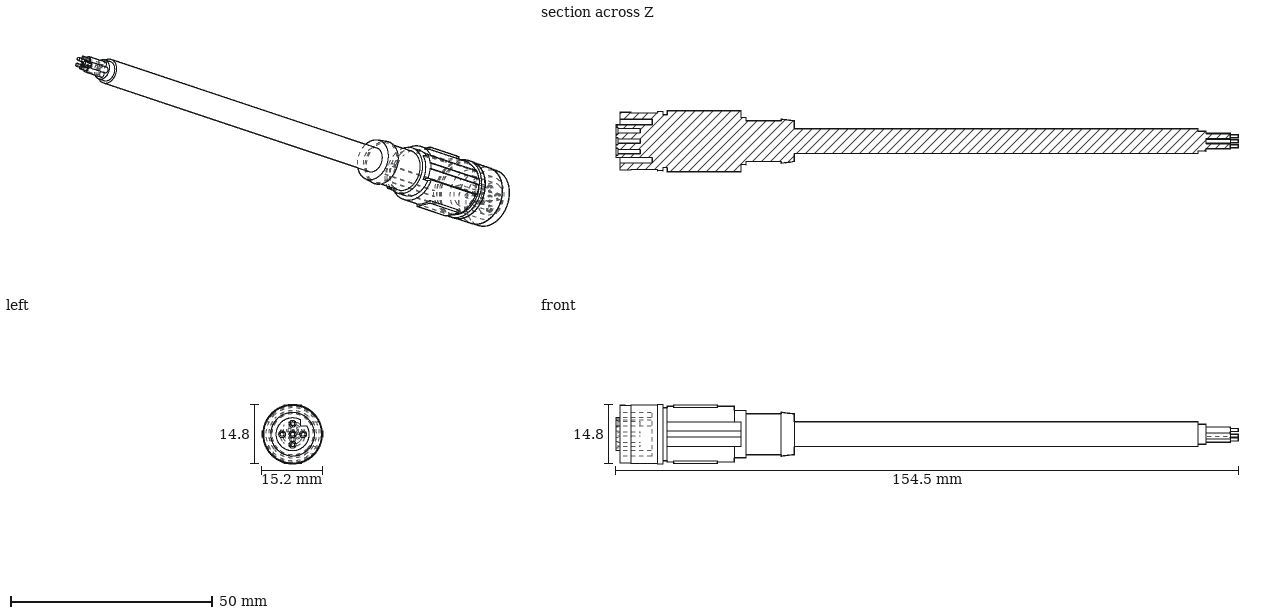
import math

import cadquery as cq

insert_face = 0.0
nut_start = 1.0
nut_rim_end = 3.7
nut_collar_start = 10.3
nut_end = 11.7
grip_start = 12.7
grip_end = 29.4
rib_end = 31.1
shoulder_end = 32.3
bead_start = 41.0
boot_end = 44.3
jacket_end = 144.5
sleeve_end = 146.5
insulation_end = 152.5
overall_length = 154.5

nut_rim_radius = 7.2
nut_radius = 7.3
nut_collar_radius = 7.395
neck_radius = 6.6
grip_radius = 6.95
shoulder_radius = 5.9
boot_radius = 5.1
bead_radius = 5.5
jacket_radius = 3.1
sleeve_radius = 2.5

nut_bore_radius = 5.4
insert_radius = 4.1
socket_recess_depth = 8.0
contact_radius = 0.5
contact_entry_radius = 0.85
contact_entry_depth = 0.5
contact_circle_radius = 2.6
contact_depth = 6.0
outer_contact_count = 4
keyway_corner_offset = 2.0

flat_width = 3.4
flat_start = nut_rim_end
flat_end = nut_collar_start

rib_width = 6.1
rib_radius = 7.35
ridge_width = 1.5
ridge_reach = 7.6
pad_start = 14.3
pad_end = 25.2
pad_width = 4.3
pad_height = 7.3

wire_count = 5
wire_circle_radius = 1.3
insulation_radius = 0.75
conductor_radius = 0.4


def rod(start, end, radius, y=0.0, z=0.0):
    """Cylinder parallel to X between two stations."""
    return cq.Workplane("YZ", origin=(start, y, z)).circle(radius).extrude(end - start)


def block(start, end, width_y, width_z):
    """Box centred on the X axis between two stations."""
    middle = (start + end) / 2
    return cq.Workplane("XY", origin=(middle, 0, 0)).box(end - start, width_y, width_z)


def make_nut():
    """Coupling nut with a recessed bore and a flat on each side."""
    rim = rod(nut_start, nut_rim_end, nut_rim_radius)
    barrel = rod(nut_rim_end, nut_collar_start, nut_radius)
    collar = rod(nut_collar_start, nut_end, nut_collar_radius)
    flat_distance = math.sqrt(nut_radius**2 - (flat_width / 2) ** 2)
    between_flats = block(flat_start, flat_end, 2 * flat_distance, 2 * nut_radius)
    flat_zone = rod(flat_start, flat_end, nut_radius)
    nut = rim.union(barrel.cut(flat_zone.cut(between_flats))).union(collar)
    return nut.cut(rod(nut_start, nut_start + socket_recess_depth, nut_bore_radius))


def make_grip():
    """Grip body with a ridged rib on each side and a raised pad above and below."""
    body = rod(grip_start, grip_end, grip_radius)
    ribs = rod(grip_start, rib_end, rib_radius).intersect(
        block(grip_start, rib_end, 2 * rib_radius, rib_width)
    )
    ridges = block(grip_start, rib_end, 2 * ridge_reach, ridge_width)
    pads = block(pad_start, pad_end, pad_width, 2 * pad_height)
    return body.union(ribs).union(ridges).union(pads)


def make_boot():
    """Strain relief with a shoulder and a tapered bead at the cable exit."""
    boot = rod(grip_end, shoulder_end, shoulder_radius)
    boot = boot.union(rod(shoulder_end, bead_start, boot_radius))
    bead = (
        cq.Workplane("YZ", origin=(bead_start, 0, 0))
        .circle(bead_radius)
        .workplane(offset=boot_end - bead_start)
        .circle(boot_radius)
        .loft()
    )
    return boot.union(bead)


def make_cable():
    """Cable jacket, inner sleeve and a ring of stripped wires."""
    cable = rod(boot_end, jacket_end, jacket_radius)
    cable = cable.union(rod(jacket_end, sleeve_end, sleeve_radius))
    for index in range(wire_count):
        angle = math.radians(-90 + index * 360 / wire_count)
        y = wire_circle_radius * math.cos(angle)
        z = wire_circle_radius * math.sin(angle)
        cable = cable.union(rod(sleeve_end, insulation_end, insulation_radius, y, z))
        cable = cable.union(rod(insulation_end, overall_length, conductor_radius, y, z))
    return cable


def make_insert():
    """Contact carrier with a corner keyway and stepped contact holes."""
    recess_end = nut_start + socket_recess_depth
    insert = rod(insert_face, recess_end, insert_radius)
    keyway = (
        cq.Workplane("YZ", origin=(insert_face, 0, 0))
        .moveTo(-insert_radius, insert_radius)
        .lineTo(-insert_radius, keyway_corner_offset)
        .lineTo(-keyway_corner_offset, keyway_corner_offset)
        .lineTo(-keyway_corner_offset, insert_radius)
        .close()
        .extrude(recess_end - insert_face)
    )
    insert = insert.cut(keyway)
    contacts = [(0.0, 0.0)]
    for index in range(outer_contact_count):
        angle = math.radians(index * 360 / outer_contact_count)
        y = contact_circle_radius * math.cos(angle)
        z = contact_circle_radius * math.sin(angle)
        contacts.append((y, z))
    for y, z in contacts:
        insert = insert.cut(rod(insert_face, insert_face + contact_depth, contact_radius, y, z))
        entry_end = insert_face + contact_entry_depth
        insert = insert.cut(rod(insert_face, entry_end, contact_entry_radius, y, z))
    return insert


neck = rod(nut_end, grip_start, neck_radius)
result = (
    make_nut()
    .union(make_insert())
    .union(neck)
    .union(make_grip())
    .union(make_boot())
    .union(make_cable())
)